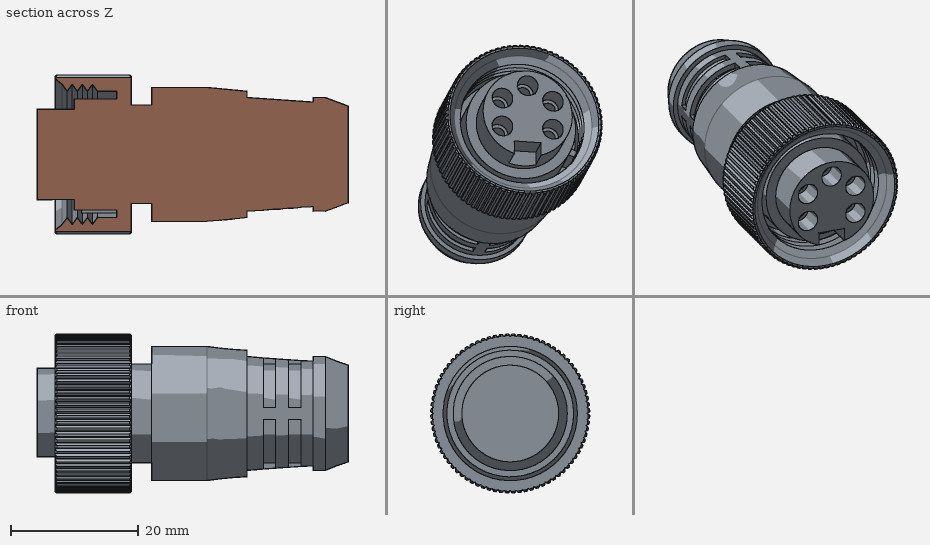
import math
import cadquery as cq


NUT_START = 2.83
NUT_END = 14.8
BODY_START = 18.0
TAPER_START = 26.7
BOOT_START = 33.0
COLLAR_START = 43.35
NOSE_START = 45.27
PART_END = 48.9

NECK_RADIUS = 7.78
BODY_RADIUS = 10.55
TAPER_END_RADIUS = 9.95
BOOT_START_RADIUS = 8.97
BOOT_END_RADIUS = 8.25
COLLAR_RADIUS = 8.97
NOSE_END_RADIUS = 7.6

NUT_RADIUS = 12.5
KNURL_COUNT = 80
KNURL_DEPTH = 0.4
KNURL_CREST_SHARE = 0.4
NUT_CHAMFER = 0.27

MOUTH_RADIUS = 11.9
LEAD_IN_END = 3.93
THREAD_ROOT_RADIUS = 11.0
THREAD_CREST_RADIUS = 9.9
INCH = 25.4
THREADS_PER_INCH = 16
THREAD_PITCH = INCH / THREADS_PER_INCH
THREAD_RINGS = 4
MOUTH_FLOOR = 12.5

FLANGE_FRONT = 5.8
FLANGE_RADIUS = 8.75
KEY_FRONT = 7.0
KEY_REACH = 9.75
KEY_WIDTH = 1.1
KEY_ANGLE = 202.5
PLUG_RADIUS = 7.13

SLOT_WIDTH = 4.29
SLOT_ROOF = 4.71
SLOT_DEPTH = 4.5

SOCKET_CIRCLE_RADIUS = 4.66
SOCKET_ANGLES = (-30, 30, 90, 150, 210)
SOCKET_RADIUS = 1.64
SOCKET_DEPTH = 4.0
CONTACT_RADIUS = 1.1
CONTACT_DEPTH = 8.0
CONTACT_TIP_ANGLE = 118.0

WINDOW_STARTS = (35.53, 39.5)
WINDOW_LENGTH = 1.94
WINDOW_FLOOR_RADIUS = 7.81
RIB_WIDTH = 1.88


def revolve_about_x(points):
    """Revolve a closed (x, radius) outline about the X axis."""
    return cq.Workplane("XY").polyline(points).close().revolve(360, (0, 0, 0), (1, 0, 0))


def cylinder(start, end, radius):
    """Solid cylinder on the X axis."""
    return cq.Workplane("YZ").workplane(offset=start).circle(radius).extrude(end - start)


def make_body():
    """Neck, body, taper, boot, collar and nose."""
    return revolve_about_x([
        (MOUTH_FLOOR, 0),
        (MOUTH_FLOOR, NECK_RADIUS),
        (BODY_START, NECK_RADIUS),
        (BODY_START, BODY_RADIUS),
        (TAPER_START, BODY_RADIUS),
        (BOOT_START, TAPER_END_RADIUS),
        (BOOT_START, BOOT_START_RADIUS),
        (COLLAR_START, BOOT_END_RADIUS),
        (COLLAR_START, COLLAR_RADIUS),
        (NOSE_START, COLLAR_RADIUS),
        (PART_END, NOSE_END_RADIUS),
        (PART_END, 0),
    ])


def make_windows():
    """Ring grooves in the boot, each split into four windows by ribs on the Y and Z axes."""
    rings = cq.Workplane("XY")
    for start in WINDOW_STARTS:
        ring = cylinder(start, start + WINDOW_LENGTH, BODY_RADIUS)
        rings = rings.add(ring.cut(cylinder(start, start + WINDOW_LENGTH, WINDOW_FLOOR_RADIUS)))
    boot_length = COLLAR_START - BOOT_START
    ribs = (
        cq.Workplane("YZ")
        .workplane(offset=BOOT_START)
        .rect(RIB_WIDTH, 2 * BODY_RADIUS)
        .extrude(boot_length)
        .union(
            cq.Workplane("YZ")
            .workplane(offset=BOOT_START)
            .rect(2 * BODY_RADIUS, RIB_WIDTH)
            .extrude(boot_length)
        )
    )
    return rings.combine().cut(ribs)


def knurl_outline():
    """Points of the toothed nut outline: flat crests between V grooves, one groove on each axis."""
    pitch = 2 * math.pi / KNURL_COUNT
    half_crest = KNURL_CREST_SHARE * pitch / 2
    root_radius = NUT_RADIUS - KNURL_DEPTH
    points = []
    for tooth in range(KNURL_COUNT):
        root = tooth * pitch
        crest = root + pitch / 2
        for radius, angle in (
            (root_radius, root),
            (NUT_RADIUS, crest - half_crest),
            (NUT_RADIUS, crest + half_crest),
        ):
            points.append((radius * math.cos(angle), radius * math.sin(angle)))
    return points


def make_mouth():
    """Hollow of the nut: conical lead-in, V thread rings and a plain bore to the floor."""
    outline = [(NUT_START, 0), (NUT_START, MOUTH_RADIUS)]
    for ring in range(THREAD_RINGS):
        root = LEAD_IN_END + ring * THREAD_PITCH
        outline.append((root, THREAD_ROOT_RADIUS))
        outline.append((root + THREAD_PITCH / 2, THREAD_CREST_RADIUS))
    outline.append((MOUTH_FLOOR, THREAD_CREST_RADIUS))
    outline.append((MOUTH_FLOOR, 0))
    return revolve_about_x(outline)


def make_nut():
    """Knurled nut with chamfered ends and a threaded mouth."""
    knurled = (
        cq.Workplane("YZ")
        .workplane(offset=NUT_START)
        .polyline(knurl_outline())
        .close()
        .extrude(NUT_END - NUT_START)
    )
    blank = cylinder(NUT_START, NUT_END, NUT_RADIUS).edges().chamfer(NUT_CHAMFER)
    return knurled.intersect(blank).cut(make_mouth())


def make_insert():
    """Keyed flange and slotted plug, rooted in the floor of the nut mouth."""
    flange = cylinder(FLANGE_FRONT, NUT_END, FLANGE_RADIUS)
    key = (
        cq.Workplane("YZ")
        .workplane(offset=KEY_FRONT)
        .center(KEY_REACH / 2, 0)
        .rect(KEY_REACH, KEY_WIDTH)
        .extrude(NUT_END - KEY_FRONT)
        .rotate((0, 0, 0), (1, 0, 0), KEY_ANGLE)
    )
    slot = (
        cq.Workplane("YZ")
        .center(0, -(SLOT_ROOF + PLUG_RADIUS) / 2)
        .rect(SLOT_WIDTH, PLUG_RADIUS - SLOT_ROOF)
        .extrude(SLOT_DEPTH)
    )
    plug = cylinder(0, FLANGE_FRONT, PLUG_RADIUS).cut(slot)
    return plug.union(flange).union(key)


def make_sockets():
    """Stepped contact holes with conical bottoms."""
    tip_length = CONTACT_RADIUS / math.tan(math.radians(CONTACT_TIP_ANGLE / 2))
    socket = revolve_about_x([
        (0, 0),
        (0, SOCKET_RADIUS),
        (SOCKET_DEPTH, SOCKET_RADIUS),
        (SOCKET_DEPTH, CONTACT_RADIUS),
        (CONTACT_DEPTH, CONTACT_RADIUS),
        (CONTACT_DEPTH + tip_length, 0),
    ])
    sockets = cq.Workplane("XY")
    for angle in SOCKET_ANGLES:
        y = SOCKET_CIRCLE_RADIUS * math.cos(math.radians(angle))
        z = SOCKET_CIRCLE_RADIUS * math.sin(math.radians(angle))
        sockets = sockets.add(socket.translate((0, y, z)))
    return sockets.combine()


result = (
    make_body()
    .cut(make_windows())
    .union(make_nut())
    .union(make_insert())
    .cut(make_sockets())
)